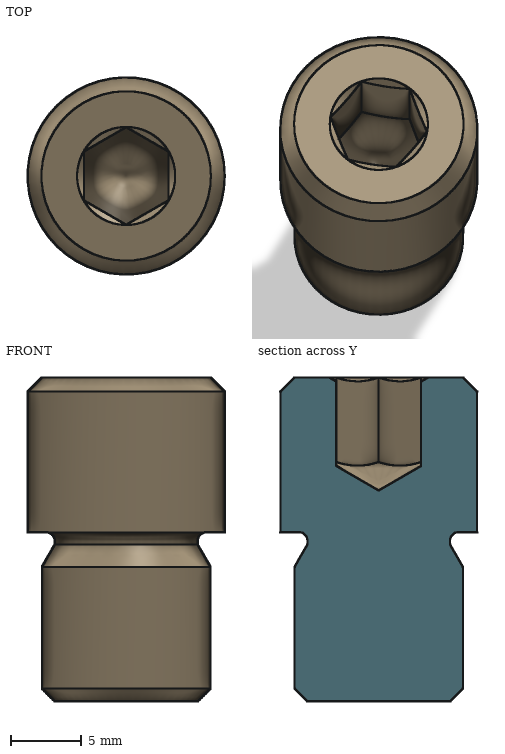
import cadquery as cq
import math

total_length = 23.0
head_diameter = 14.0
head_length = 11.0
head_chamfer = 1.0
shank_diameter = 12.0

groove_diameter = 10.17
groove_length = 2.45
groove_fillet = 0.6
groove_cone_half_angle = 30.0

hex_across_flats = 6.0
hex_depth = 6.0
socket_mouth_diameter = 6.97
socket_mouth_half_angle = 60.0
socket_tip_half_angle = 60.0

head_radius = head_diameter / 2
shank_radius = shank_diameter / 2
groove_radius = groove_diameter / 2
hex_across_corners = hex_across_flats / math.cos(math.radians(30))


def cone_height(radius, half_angle):
    return radius / math.tan(math.radians(half_angle))


def downward_cone(radius, half_angle, base_z):
    """Solid cone with its wide end at base_z and its tip below."""
    return (
        cq.Workplane("XZ")
        .moveTo(0, base_z)
        .lineTo(radius, base_z)
        .lineTo(0, base_z - cone_height(radius, half_angle))
        .close()
        .revolve(360, (0, 0, 0), (0, 1, 0))
    )


def make_body():
    """Turned head, undercut and shank, with the free shank end at Z = 0."""
    end_chamfer = shank_radius - groove_radius
    head_bottom = total_length - head_length
    shank_top = head_bottom - groove_length
    cone_top = shank_top + cone_height(end_chamfer, groove_cone_half_angle)

    return (
        cq.Workplane("XZ")
        .lineTo(groove_radius, 0)
        .lineTo(shank_radius, end_chamfer)
        .lineTo(shank_radius, shank_top)
        .lineTo(groove_radius, cone_top)
        .lineTo(groove_radius, head_bottom - groove_fillet)
        .radiusArc((groove_radius + groove_fillet, head_bottom), groove_fillet)
        .lineTo(head_radius, head_bottom)
        .lineTo(head_radius, total_length - head_chamfer)
        .lineTo(head_radius - head_chamfer, total_length)
        .lineTo(0, total_length)
        .close()
        .revolve(360, (0, 0, 0), (0, 1, 0))
    )


def make_socket():
    """Hexagonal recess with two flats facing X, a conical mouth and a conical floor."""
    floor_z = total_length - hex_depth
    tip_height = cone_height(hex_across_corners / 2, socket_tip_half_angle)
    hexagon = (
        cq.Workplane("XY")
        .workplane(offset=floor_z - tip_height)
        .polygon(6, hex_across_corners)
        .extrude(hex_depth + tip_height)
        .rotate((0, 0, 0), (0, 0, 1), 30)
    )
    envelope = (
        cq.Workplane("XY")
        .workplane(offset=floor_z)
        .circle(hex_across_corners / 2)
        .extrude(hex_depth)
        .union(downward_cone(hex_across_corners / 2, socket_tip_half_angle, floor_z))
    )
    mouth = downward_cone(socket_mouth_diameter / 2, socket_mouth_half_angle, total_length)
    return hexagon.intersect(envelope).union(mouth)


result = make_body().cut(make_socket())